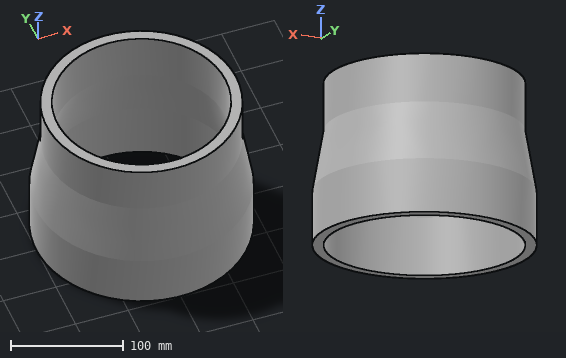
import cadquery as cq

wide_diameter = 200.0
narrow_diameter = 180.0
wall = 10.2

wide_length = 50.0
cone_length = 56.0
narrow_length = 45.0
bore_cone_rise = 4.2

cone_start = wide_length
cone_end = cone_start + cone_length
total_height = cone_end + narrow_length
bore_cone_start = cone_start + bore_cone_rise


def stepped_solid(wide_radius, narrow_radius, taper_start):
    """Wide cylinder, taper and narrow cylinder revolved about Z."""
    return (
        cq.Workplane("XZ")
        .moveTo(0, 0)
        .lineTo(wide_radius, 0)
        .lineTo(wide_radius, taper_start)
        .lineTo(narrow_radius, cone_end)
        .lineTo(narrow_radius, total_height)
        .lineTo(0, total_height)
        .close()
        .revolve(360, (0, 0, 0), (0, 1, 0))
    )


body = stepped_solid(wide_diameter / 2, narrow_diameter / 2, cone_start)
bore = stepped_solid(
    wide_diameter / 2 - wall,
    narrow_diameter / 2 - wall,
    bore_cone_start,
)

result = body.cut(bore)